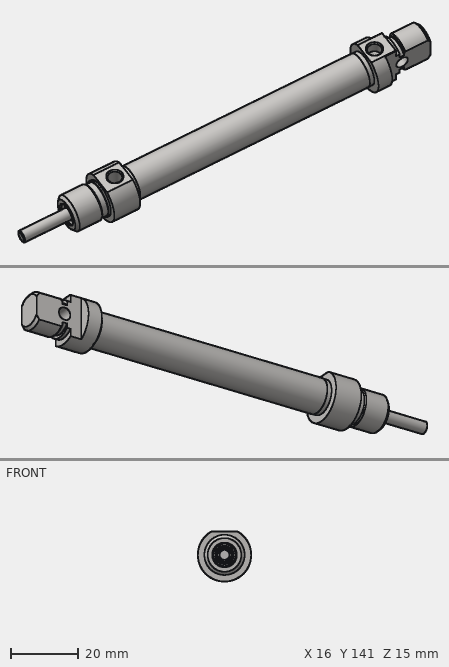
import cadquery as cq
import math


ROD_TIP = 0.0
NOSE_FACE = 16.0
THREAD_BACK = 25.1
SHOULDER_FACE = 27.1
FRONT_BLOCK_FACE = 27.8
FRONT_PORT = 32.9
FRONT_BLOCK_BACK = 36.8
BARREL_FRONT = 38.4
BARREL_BACK = 118.7
REAR_BLOCK_FACE = 120.3
REAR_PORT = 123.8
WING_BACK = 125.0
REAR_BLOCK_BACK = 128.9
EYE_GROOVE_FACE = 130.1
EYE_HOLE = 131.0
EYE_GROOVE_BACK = 131.7
EYE_END = 141.0

BLOCK_DIAMETER = 16.0
BLOCK_HEIGHT = 15.0
BLOCK_TOP = BLOCK_HEIGHT - BLOCK_DIAMETER / 2

BARREL_DIAMETER = 11.3
COLLAR_DIAMETER = 11.1

THREAD_DIAMETER = 12.0
NECK_DIAMETER = 11.1
EYE_GROOVE_DIAMETER = 10.0
EYE_WIDTH = 8.0
EYE_HOLE_DIAMETER = 4.1
END_CHAMFER = 1.0
EDGE_CHAMFER = 0.4

ROD_DIAMETER = 4.0
ROD_TIP_DIAMETER = 3.0
ROD_TIP_CHAMFER_LENGTH = 0.3
MOUTH_DIAMETER = 7.3
SEAL_DIAMETER = 6.6
SEAL_DEPTH = 1.4
WIPER_DIAMETER = 5.5
WIPER_DEPTH = 2.8
CLEARANCE_DIAMETER = 4.7
CLEARANCE_DEPTH = 4.2

PORT_DIAMETER = 4.4
PORT_MOUTH_DIAMETER = 5.2
PORT_CHAMFER = (PORT_MOUTH_DIAMETER - PORT_DIAMETER) / 2
REAR_PORT_DEPTH = 4.0
DRILL_POINT_ANGLE = 118.0


def turned(profile):
    """Solid of revolution about Y from (diameter, y) pairs."""
    outline = [(diameter / 2, y) for diameter, y in profile]
    axis_ends = [(0, profile[-1][1]), (0, profile[0][1])]
    return cq.Workplane("XY").polyline(outline + axis_ends).close().revolve(360, (0, 0), (0, 1))


def cylinder(diameter, y_front, y_back):
    return turned([(diameter, y_front), (diameter, y_back)])


def cap_block(y_front, y_back):
    """Round block with a flat on top for the air port."""
    flat_cutter = cq.Workplane("XY").box(
        BLOCK_DIAMETER, 2 * y_back, BLOCK_DIAMETER, centered=(True, True, False)
    ).translate((0, 0, BLOCK_TOP))
    return cylinder(BLOCK_DIAMETER, y_front, y_back).cut(flat_cutter)


def port_cutter(y, depth, point_length):
    """Chamfered vertical port; a point length of zero leaves a flat bottom."""
    bottom = BLOCK_TOP - depth
    radius = PORT_DIAMETER / 2
    profile = [
        (0, BLOCK_TOP),
        (PORT_MOUTH_DIAMETER / 2, BLOCK_TOP),
        (radius, BLOCK_TOP - PORT_CHAMFER),
        (radius, bottom),
        (0, bottom - point_length),
    ]
    cutter = cq.Workplane("XZ").polyline(profile).close().revolve(360, (0, 0), (0, 1))
    return cutter.translate((0, y, 0))


def make_rod():
    return turned([
        (ROD_TIP_DIAMETER, ROD_TIP),
        (ROD_DIAMETER, ROD_TIP + ROD_TIP_CHAMFER_LENGTH),
        (ROD_DIAMETER, BARREL_FRONT),
    ])


def make_barrel():
    return cylinder(BARREL_DIAMETER, BARREL_FRONT, BARREL_BACK)


def make_front_cap():
    nose = turned([
        (THREAD_DIAMETER - 2 * END_CHAMFER, NOSE_FACE),
        (THREAD_DIAMETER, NOSE_FACE + END_CHAMFER),
        (THREAD_DIAMETER, THREAD_BACK - EDGE_CHAMFER),
        (NECK_DIAMETER, THREAD_BACK),
        (NECK_DIAMETER, SHOULDER_FACE),
        (THREAD_DIAMETER, SHOULDER_FACE),
        (THREAD_DIAMETER, FRONT_BLOCK_FACE),
    ])
    collar = cylinder(COLLAR_DIAMETER, FRONT_BLOCK_BACK, BARREL_FRONT)
    block = cap_block(FRONT_BLOCK_FACE, FRONT_BLOCK_BACK)

    mouth_chamfer = (MOUTH_DIAMETER - SEAL_DIAMETER) / 2
    rod_bore = turned([
        (MOUTH_DIAMETER, NOSE_FACE),
        (SEAL_DIAMETER, NOSE_FACE + mouth_chamfer),
        (SEAL_DIAMETER, NOSE_FACE + SEAL_DEPTH),
        (WIPER_DIAMETER, NOSE_FACE + SEAL_DEPTH),
        (WIPER_DIAMETER, NOSE_FACE + WIPER_DEPTH),
        (CLEARANCE_DIAMETER, NOSE_FACE + WIPER_DEPTH),
        (CLEARANCE_DIAMETER, NOSE_FACE + CLEARANCE_DEPTH),
        (ROD_DIAMETER, NOSE_FACE + CLEARANCE_DEPTH),
        (ROD_DIAMETER, BARREL_FRONT),
    ])
    port = port_cutter(FRONT_PORT, BLOCK_TOP, 0)
    return nose.union(block).union(collar).cut(rod_bore).cut(port)


def make_rear_cap():
    eye = turned([
        (THREAD_DIAMETER, REAR_BLOCK_BACK),
        (THREAD_DIAMETER, EYE_GROOVE_FACE),
        (EYE_GROOVE_DIAMETER, EYE_GROOVE_FACE),
        (EYE_GROOVE_DIAMETER, EYE_GROOVE_BACK),
        (THREAD_DIAMETER - 2 * EDGE_CHAMFER, EYE_GROOVE_BACK),
        (THREAD_DIAMETER, EYE_GROOVE_BACK + EDGE_CHAMFER),
        (THREAD_DIAMETER, EYE_END - END_CHAMFER),
        (THREAD_DIAMETER - 2 * END_CHAMFER, EYE_END),
    ])
    collar = cylinder(COLLAR_DIAMETER, BARREL_BACK, REAR_BLOCK_FACE)
    cap = cap_block(REAR_BLOCK_FACE, REAR_BLOCK_BACK).union(eye).union(collar)

    side_cutter = cq.Workplane("XY").box(
        BLOCK_DIAMETER, EYE_END - WING_BACK, BLOCK_DIAMETER, centered=(False, False, True)
    ).translate((EYE_WIDTH / 2, WING_BACK, 0))
    cap = cap.cut(side_cutter).cut(side_cutter.mirror("YZ"))

    eye_hole = (
        cq.Workplane("YZ").center(EYE_HOLE, 0).circle(EYE_HOLE_DIAMETER / 2)
        .extrude(EYE_WIDTH, both=True)
    )
    point_length = PORT_DIAMETER / 2 / math.tan(math.radians(DRILL_POINT_ANGLE / 2))
    port = port_cutter(REAR_PORT, REAR_PORT_DEPTH, point_length)
    return cap.cut(eye_hole).cut(port)


rod = make_rod()
barrel = make_barrel()
front_cap = make_front_cap()
rear_cap = make_rear_cap()

result = cq.Compound.makeCompound([rod.val(), barrel.val(), front_cap.val(), rear_cap.val()])